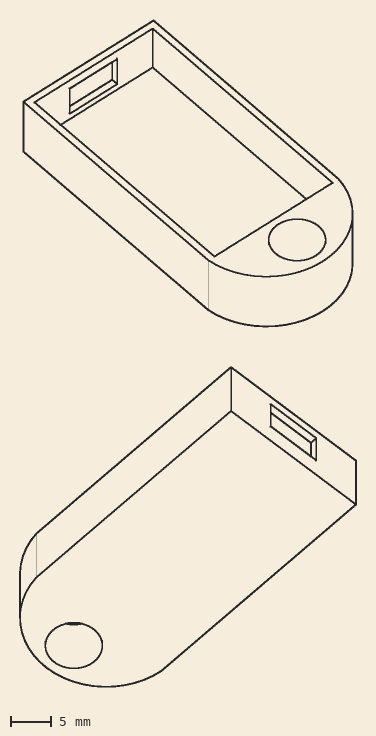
import cadquery as cq

length = 44.25
width = 21.0
height = 9.0

straight_length = 35.0
wall = 0.97
floor = 2.0

hole_diameter = 7.0
hole_x = 39.45

window_width = 7.65
window_height = 4.5
window_bottom = 2.95


def make_body():
    """Solid block with a flat end at X = 0 and an arc-shaped opposite end."""
    half_width = width / 2
    return (
        cq.Workplane("XY")
        .moveTo(0, -half_width)
        .lineTo(straight_length, -half_width)
        .threePointArc((length, 0), (straight_length, half_width))
        .lineTo(0, half_width)
        .close()
        .extrude(height)
    )


def make_pocket():
    """Open-topped cavity that ends where the rounded end begins."""
    return (
        cq.Workplane("XY")
        .box(straight_length - wall, width - 2 * wall, height - floor, centered=(False, True, False))
        .translate((wall, 0, floor))
    )


def make_keyring_hole():
    """Vertical through hole in the rounded end."""
    return cq.Workplane("XY").center(hole_x, 0).circle(hole_diameter / 2).extrude(height)


def make_window():
    """Rectangular opening through the flat end wall into the pocket."""
    return (
        cq.Workplane("XY")
        .box(wall, window_width, window_height, centered=(False, True, False))
        .translate((0, 0, window_bottom))
    )


result = make_body().cut(make_pocket()).cut(make_keyring_hole()).cut(make_window())